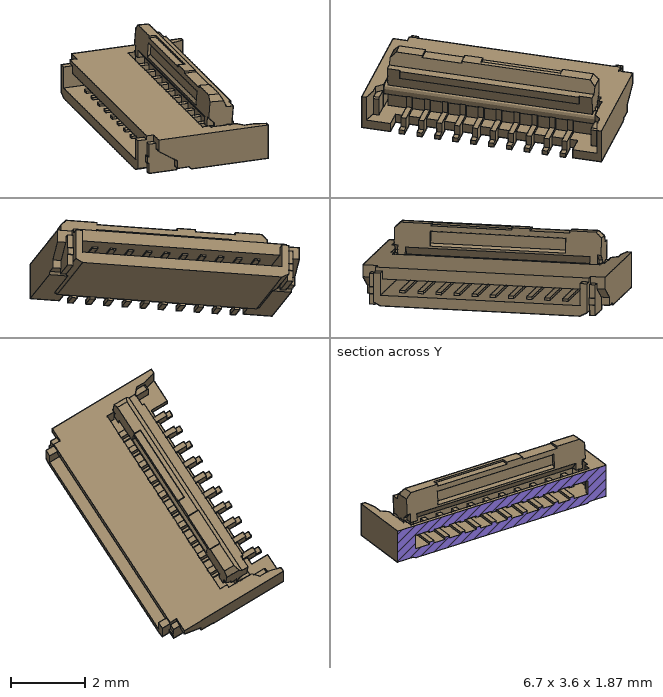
import cadquery as cq


length = 6.7
depth = 3.6
housing_top = 1.03
core_width = 5.9
core_bottom = 0.02
core_rear = 2.93
core_chamfer_x = 0.19
core_chamfer_z = 0.10
roof_front = 0.25
nose_top = 0.925
wing_front = 0.45
wing_bottom = 0.06
wing_nose_bottom = 0.70
wing_slope_end = (0.985, 0.35)
wing_step_z = 0.13
wing_step_slope = (1.32, 1.39)

slot_width = 5.52
slot_floor = 0.315
slot_ceiling = 0.71
well_front = 1.89
well_width = 5.73
bearing_front = 2.11
bearing_rear = 2.825
flare_x = 3.13
flare_y = (2.99, 3.25)
flare_mouth_x = 3.22
rear_floor_end = 3.095
stop_wall_front = 2.42
stop_wall_rear = 2.70
stop_wall_top = 0.74
rear_gap_width = 5.09

contact_count = 10
contact_pitch = 0.5
contact_width = 0.15
lower_beam_front = 0.435
lower_beam_top = 0.38
upper_beam_front = 0.70
upper_beam_bottom = 0.67
upper_beam_top = 0.90
rear_post_top = 0.40
rear_post_end = 3.36
upper_beam_end = 2.78
foot_front = 3.05
foot_end = 3.54
foot_top = 0.12

tab_inner_x = 2.965
tab_outer_x = 3.12
tab_front = roof_front
tab_foot_end = 1.06
tab_top = 0.85
tab_rear_end = 3.26
tab_rear_bevel = 0.04
nub_front = 0.21
nub_bottom = 0.295
nub_top = 0.485

lever_width = 5.72
lever_top = 1.87
lever_top_rear = 1.855
lever_bottom = 0.72
lever_lean = 0.08
lever_front_top = 2.12
lever_back_top = 2.425
lever_step_front = 2.585
lever_step_rear = 2.78
lever_step_z = 1.515
lever_corner = 0.15
rear_strip_width = 5.01
rear_strip_bottom = 1.29
rear_strip_thickness = 0.06
relief_width = 5.10
relief_top = 1.20
relief_shoulder = 0.97
relief_rear = 2.24
foot_relief_x = slot_width / 2
foot_relief_top = 1.25
foot_relief_shoulder = 1.08
foot_bottom = 0.99
window_width = 3.74
window_bottom = 1.26
window_ledge = 1.325
window_top = 1.66
window_depth = 0.08
notch_floor = 1.81
short_notch_x = (-1.85, 0.375)
short_notch_rear = 2.31
through_notch_x = (0.88, 1.98)
pin_radius = 0.18
pin_y = 2.63
pin_z = 0.83


def box(x_range, y_range, z_range):
    """Axis-aligned block spanning the three ranges."""
    ranges = (x_range, y_range, z_range)
    sizes = [high - low for low, high in ranges]
    corner = tuple(low for low, high in ranges)
    return cq.Workplane("XY").box(*sizes, centered=False).translate(corner)


def centered_box(width, y_range, z_range):
    return box((-width / 2, width / 2), y_range, z_range)


def side_profile(points, x_range):
    """Extrude a (Y, Z) outline along X."""
    return (
        cq.Workplane("YZ").polyline(points).close()
        .extrude(x_range[1] - x_range[0]).translate((x_range[0], 0, 0))
    )


def both_sides(solid):
    """The solid together with its mirror image across X = 0."""
    return solid.union(solid.mirror("YZ"))


def make_core():
    """Central block with bottom edge chamfers and a set-back roof."""
    half = core_width / 2
    outline = [
        (-half, housing_top),
        (-half, core_bottom + core_chamfer_z),
        (-half + core_chamfer_x, core_bottom),
        (half - core_chamfer_x, core_bottom),
        (half, core_bottom + core_chamfer_z),
        (half, housing_top),
    ]
    core = cq.Workplane("XZ").polyline(outline).close().extrude(-core_rear)
    front_top = centered_box(core_width, (0, roof_front), (nose_top, housing_top))
    front_mouth = centered_box(slot_width, (0, roof_front), (slot_ceiling, housing_top))
    return core.cut(front_top).cut(front_mouth)


def make_wings():
    """Side wings with a sloping front, joined by the rear floor."""
    outline = [
        (wing_front, housing_top),
        (wing_front, wing_nose_bottom),
        wing_slope_end,
        (wing_slope_end[0], wing_step_z),
        (wing_step_slope[0], wing_step_z),
        (wing_step_slope[1], wing_bottom),
        (depth, wing_bottom),
        (depth, housing_top),
    ]
    wing = side_profile(outline, (-length / 2, -rear_gap_width / 2))
    rear_floor = centered_box(rear_gap_width, (core_rear, rear_floor_end), (wing_bottom, slot_floor))
    return both_sides(wing).union(rear_floor)


def make_well():
    """Open well for the lever; its rear flares out to the wings."""
    half_well = well_width / 2
    half_core = core_width / 2
    half_outline = [
        (0, well_front),
        (half_well, well_front),
        (half_well, bearing_front),
        (half_core, bearing_front),
        (half_core, bearing_rear),
        (flare_x, flare_y[0]),
        (flare_x, flare_y[1]),
        (flare_mouth_x, depth),
        (0, depth),
    ]
    half = (
        cq.Workplane("XY").workplane(offset=slot_floor)
        .polyline(half_outline).close().extrude(housing_top - slot_floor)
    )
    stop_wall = centered_box(well_width, (stop_wall_front, stop_wall_rear), (slot_floor, stop_wall_top))
    return both_sides(half).cut(stop_wall)


def make_housing():
    slot = centered_box(slot_width, (0, well_front), (slot_floor, slot_ceiling))
    return make_core().union(make_wings()).cut(slot).cut(make_well())


def make_tabs():
    """Metal hold-down tabs at the front and their rear ends in the flared well."""
    across = (tab_inner_x, tab_outer_x)
    front = box(across, (tab_front, tab_foot_end), (0, tab_top))
    nub = box(across, (nub_front, tab_front), (nub_bottom, nub_top))
    rear = box(across, (bearing_rear, tab_rear_end), (slot_floor, tab_top))
    rear = rear.faces(">Y").edges(">Z").chamfer(tab_rear_bevel)
    return both_sides(front.union(nub).union(rear))


def make_contact(x):
    """Fork-shaped contact: two beams, a post, and a solder foot at the rear."""
    outline = [
        (lower_beam_front, slot_floor),
        (lower_beam_front, lower_beam_top),
        (stop_wall_front, lower_beam_top),
        (stop_wall_front, upper_beam_bottom),
        (upper_beam_front, upper_beam_bottom),
        (upper_beam_front, upper_beam_top),
        (upper_beam_end, upper_beam_top),
        (upper_beam_end, rear_post_top),
        (rear_post_end, rear_post_top),
        (rear_post_end, foot_top),
        (foot_end, foot_top),
        (foot_end, 0),
        (foot_front, 0),
        (foot_front, slot_floor),
    ]
    return side_profile(outline, (x - contact_width / 2, x + contact_width / 2))


def lever_front(z):
    """Y of the leaning lever's front face at height z."""
    return lever_front_top - lever_lean * (lever_top - z)


def lever_back(z):
    """Y of the leaning lever's rear face at height z."""
    return lever_step_rear + lever_lean * (z - lever_step_z)


def make_lever_blank():
    """Leaning lever bar with chamfered top corners and a rear grip strip."""
    half = lever_width / 2
    outline = [
        (lever_front(lever_bottom), lever_bottom),
        (lever_front_top, lever_top),
        (lever_back_top, lever_top_rear),
        (lever_step_front, lever_step_z),
        (lever_step_rear, lever_step_z),
        (lever_back(lever_bottom), lever_bottom),
    ]
    bar = side_profile(outline, (-half, half))
    top_region = cq.selectors.BoxSelector(
        (-length, lever_front_top, lever_step_z),
        (length, lever_back_top, lever_top),
    )
    bar = bar.faces("<X or >X").edges(top_region).chamfer(lever_corner)
    strip_outline = [
        (lever_back(rear_strip_bottom), rear_strip_bottom),
        (lever_back(rear_strip_bottom) + rear_strip_thickness, rear_strip_bottom),
        (lever_step_rear + rear_strip_thickness, lever_step_z),
        (lever_step_rear, lever_step_z),
    ]
    strip = side_profile(strip_outline, (-rear_strip_width / 2, rear_strip_width / 2))
    return bar.union(strip)


def lever_reliefs():
    """Undercuts at the lever foot: one wide, one at each end, and a deep one below the feet."""
    wide_outline = [
        (well_front, relief_top),
        (lever_front(relief_top), relief_top),
        (relief_rear, relief_shoulder),
        (relief_rear, lever_bottom),
        (well_front, lever_bottom),
    ]
    end_outline = [
        (well_front, foot_relief_top),
        (lever_front(foot_relief_top), foot_relief_top),
        (relief_rear, foot_relief_shoulder),
        (relief_rear, lever_bottom),
        (well_front, lever_bottom),
    ]
    wide = side_profile(wide_outline, (-relief_width / 2, relief_width / 2))
    end = side_profile(end_outline, (foot_relief_x, lever_width / 2))
    foot_x = (relief_width / 2, lever_width / 2)
    below_foot = box(foot_x, (well_front, stop_wall_front), (lever_bottom, foot_bottom))
    return wide.union(both_sides(end.union(below_foot)))


def lever_window():
    """Shallow recess in the lever front with a sloping lower ledge."""
    outline = [
        (well_front, window_bottom),
        (lever_front(window_bottom), window_bottom),
        (lever_front(window_ledge) + window_depth, window_ledge),
        (lever_front(window_top) + window_depth, window_top),
        (well_front, window_top),
    ]
    return side_profile(outline, (-window_width / 2, window_width / 2))


def make_lever():
    notch_height = (notch_floor, lever_top)
    short_notch = box(short_notch_x, (well_front, short_notch_rear), notch_height)
    through_notch = box(through_notch_x, (well_front, depth), notch_height)
    pin_rod = cq.Workplane("YZ").center(pin_y, pin_z).circle(pin_radius).extrude(core_width / 2, both=True)
    lever = make_lever_blank().cut(lever_reliefs()).cut(lever_window())
    return lever.cut(short_notch).cut(through_notch).union(pin_rod)


result = make_housing().union(make_tabs()).union(make_lever())
for index in range(contact_count):
    contact_x = (index - (contact_count - 1) / 2) * contact_pitch
    result = result.union(make_contact(contact_x))